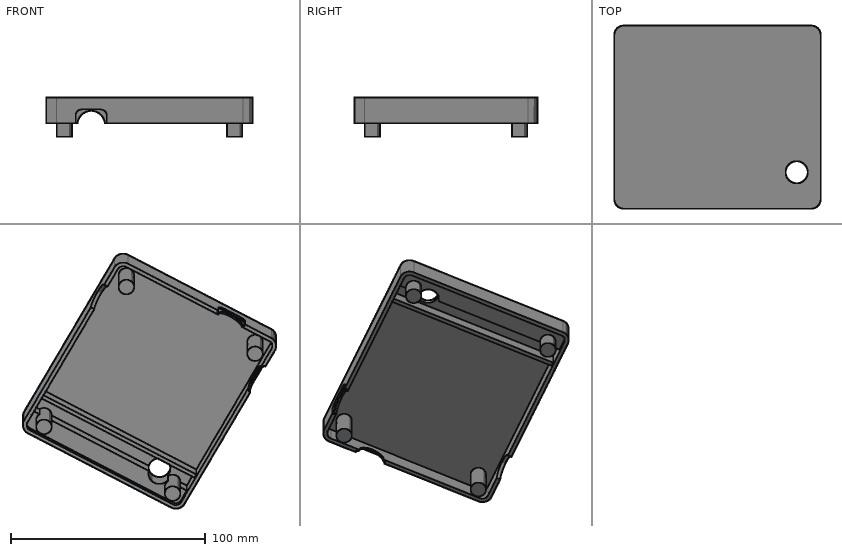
import cadquery as cq

length = 106.4
width = 94.4
height = 20.2

cover_height = 13.3
corner_radius = 5.1
wall = 2.0
roof = 3.0
roof_underside = cover_height - roof

peg_diameter = 8.0
peg_inset = 9.4
peg_drop = height - cover_height

hole_diameter = 11.3
hole_x = 94.0
hole_y = 18.8
block_inner_x = 95.2

rib_x = 85.1
rib_thickness = wall
rim_clearance = 2.9

arch_radius = 7.0
arch_height = 6.4
recess_width = 16.0
recess_height = 7.1
recess_corner = 3.0
recess_depth = 1.0
input_1_x = 23.2
input_2_y = 28.2


def box_between(x0, x1, y0, y1, z0, z1):
    """Box from its two opposite corners."""
    return cq.Workplane("XY").box(x1 - x0, y1 - y0, z1 - z0, centered=False).translate((x0, y0, z0))


def peg_at(x, y):
    """Peg from the top of the cover down past the rim."""
    return cq.Workplane("XY", origin=(x, y, -peg_drop)).circle(peg_diameter / 2).extrude(height)


def hung_wall(x0, x1):
    """Wall across the cavity, hanging from the roof and clear of the rim."""
    return box_between(x0, x1, wall, width - wall, rim_clearance, roof_underside)


def cable_opening(arch_depth):
    """Cutter that enters a wall on Y = 0 along +Y: the arch and its outer recess."""
    arch = (
        cq.Workplane("XZ")
        .center(0, arch_height - arch_radius)
        .circle(arch_radius)
        .extrude(-arch_depth)
    )
    recess = (
        box_between(-recess_width / 2, recess_width / 2, 0, recess_depth, 0, recess_height)
        .edges("|Y and >Z")
        .fillet(recess_corner)
    )
    return arch.union(recess)


cover = box_between(0, length, 0, width, 0, cover_height).edges("|Z").fillet(corner_radius)
cavity = box_between(wall, length - wall, wall, width - wall, 0, roof_underside)
cavity = cavity.edges("|Z").fillet(corner_radius - wall)
cover = cover.cut(cavity)

block = hung_wall(block_inner_x, length - wall)
rib = hung_wall(rib_x, rib_x + rib_thickness)
cover = cover.union(block).union(rib)

for x in (peg_inset, length - peg_inset):
    for y in (peg_inset, width - peg_inset):
        cover = cover.union(peg_at(x, y))

hole = cq.Workplane("XY").center(hole_x, hole_y).circle(hole_diameter / 2).extrude(cover_height)
cover = cover.cut(hole)

cover = cover.cut(cable_opening(width).translate((input_1_x, 0, 0)))

side_opening = cable_opening(wall).rotate((0, 0, 0), (0, 0, 1), -90)
cover = cover.cut(side_opening.translate((0, input_2_y, 0)))

result = cover